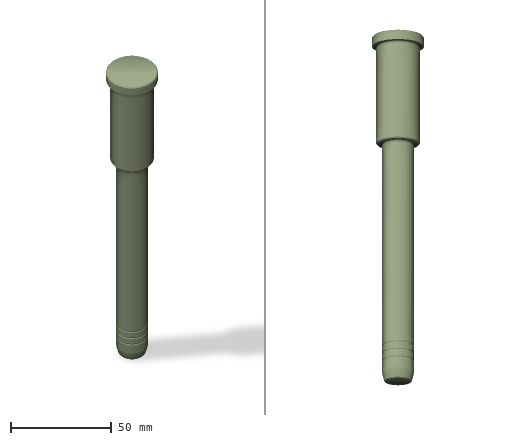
import cadquery as cq

total_length = 180.0
head_diameter = 26.0
head_height = 5.0
body_diameter = 22.0
body_bottom = 124.0
shank_diameter = 16.0

neck_height = 0.5
undercut_height = 1.0
undercut_depth = 0.4
head_chamfer = 0.5
body_chamfer = 0.5

groove_count = 3
groove_pitch = 4.0
groove_width = 1.0
groove_depth = 0.27
lowest_groove_bottom = 10.0

tip_height = 5.0
tip_diameter = 13.9
tip_bulge = 0.2
tip_chamfer = 0.4

head_radius = head_diameter / 2
body_radius = body_diameter / 2
shank_radius = shank_diameter / 2
tip_radius = tip_diameter / 2
head_bottom = total_length - head_height
body_top = head_bottom - neck_height
shank_top = body_bottom - undercut_height


def cylinder(radius, bottom, top):
    """Solid cylinder on the Z axis between two heights."""
    return cq.Workplane("XY").workplane(offset=bottom).circle(radius).extrude(top - bottom)


def v_groove(radius, depth, bottom, width):
    """Ring that cuts a V-shaped groove into a cylinder of the given radius."""
    return (
        cq.Workplane("XZ")
        .moveTo(radius, bottom)
        .lineTo(radius - depth, bottom + width / 2)
        .lineTo(radius, bottom + width)
        .lineTo(head_radius, bottom + width)
        .lineTo(head_radius, bottom)
        .close()
        .revolve(360, (0, 0, 0), (0, 1, 0))
    )


def rounded_tip():
    """Revolved tip with a curved flank and a small chamfer at its end."""
    flank_middle = (
        (shank_radius + tip_radius) / 2 + tip_bulge,
        (tip_height + tip_chamfer) / 2,
    )
    return (
        cq.Workplane("XZ")
        .lineTo(tip_radius - tip_chamfer, 0)
        .lineTo(tip_radius, tip_chamfer)
        .threePointArc(flank_middle, (shank_radius, tip_height))
        .lineTo(0, tip_height)
        .close()
        .revolve(360, (0, 0, 0), (0, 1, 0))
    )


head = cylinder(head_radius, head_bottom, total_length).faces(">Z").edges().chamfer(head_chamfer)
neck = cylinder(body_radius - body_chamfer, body_top, head_bottom)
body = cylinder(body_radius, body_bottom, body_top).edges("%CIRCLE").chamfer(body_chamfer)
undercut = cylinder(shank_radius - undercut_depth, shank_top, body_bottom)
shank = cylinder(shank_radius, tip_height, shank_top)
result = rounded_tip().union(shank).union(undercut).union(body).union(neck).union(head)

for index in range(groove_count):
    groove_bottom = lowest_groove_bottom + index * groove_pitch
    result = result.cut(v_groove(shank_radius, groove_depth, groove_bottom, groove_width))